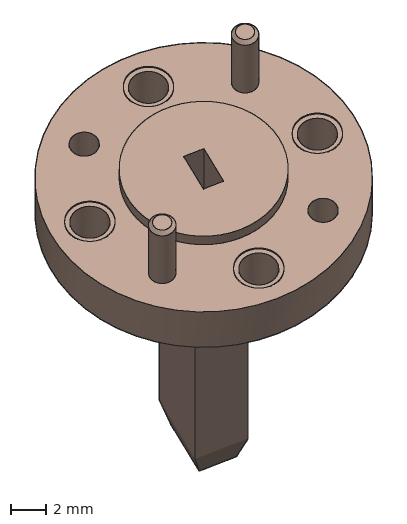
import cadquery as cq

total_height = 29.35
taper_top = 2.0
flange_bottom = 21.33
flange_thickness = 3.32
boss_height = 0.8
flange_top = flange_bottom + flange_thickness
boss_top = flange_top + boss_height

flange_diameter = 19.05
boss_diameter = 9.55

shank_x, shank_y = 4.67, 3.32
tip_x, tip_y = 3.67, 2.35

aperture_x, aperture_y = 2.55, 1.25

pitch_radius = 7.13
screw_hole_diameter = 2.25
screw_recess_diameter = 2.85
screw_recess_depth = 0.1
dowel_hole_diameter = 1.7
pin_diameter = 1.55
pin_chamfer = 0.23
screw_angle = 0
dowel_hole_angle = 45
pin_angle = 135


def on_pitch_circle(height, start_angle, count):
    """Evenly spaced points on the pitch circle at the given height."""
    return cq.Workplane("XY", origin=(0, 0, height)).polarArray(pitch_radius, start_angle, 360, count)


def make_shank():
    tip = (
        cq.Workplane("XY")
        .rect(tip_x, tip_y)
        .workplane(offset=taper_top)
        .rect(shank_x, shank_y)
        .loft(ruled=True)
    )
    bar = cq.Workplane("XY", origin=(0, 0, taper_top)).rect(shank_x, shank_y).extrude(flange_top - taper_top)
    return tip.union(bar)


def make_flange():
    plate = cq.Workplane("XY", origin=(0, 0, flange_bottom)).circle(flange_diameter / 2).extrude(flange_thickness)
    boss = cq.Workplane("XY", origin=(0, 0, flange_top)).circle(boss_diameter / 2).extrude(boss_height)
    screw_holes = on_pitch_circle(flange_bottom, screw_angle, 4).circle(screw_hole_diameter / 2)
    recesses = on_pitch_circle(flange_top, screw_angle, 4).circle(screw_recess_diameter / 2)
    dowel_holes = on_pitch_circle(flange_bottom, dowel_hole_angle, 2).circle(dowel_hole_diameter / 2)
    return (
        plate.union(boss)
        .cut(screw_holes.extrude(flange_thickness))
        .cut(recesses.extrude(-screw_recess_depth))
        .cut(dowel_holes.extrude(flange_thickness))
    )


def make_pins():
    """Dowel pins seated through the flange, chamfered at the free end."""
    pins = on_pitch_circle(flange_bottom, pin_angle, 2).circle(pin_diameter / 2)
    return pins.extrude(total_height - flange_bottom).faces(">Z").chamfer(pin_chamfer)


aperture = cq.Workplane("XY").rect(aperture_x, aperture_y).extrude(boss_top)
result = make_shank().union(make_flange()).union(make_pins()).cut(aperture)